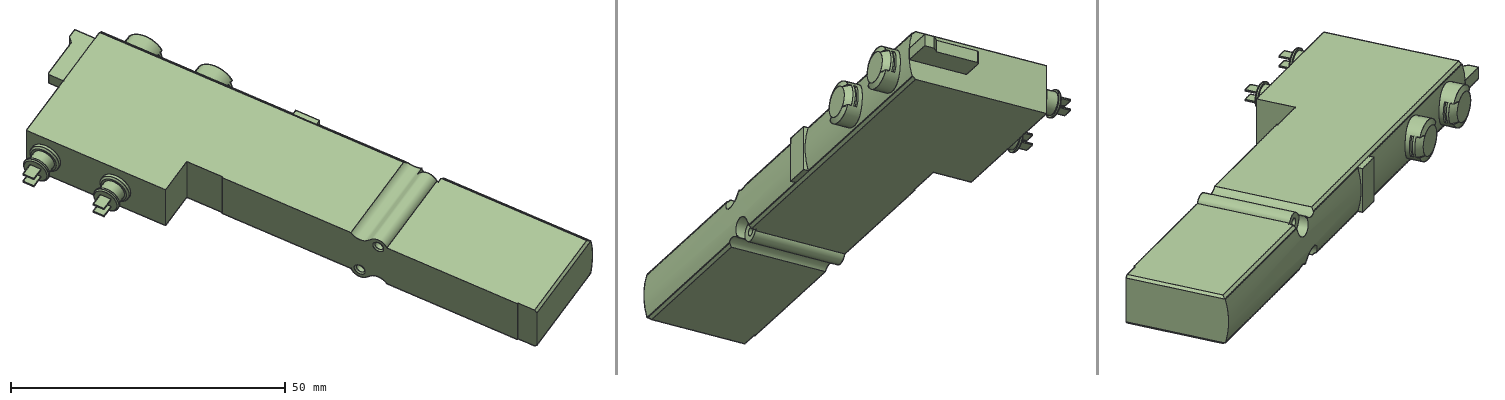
import cadquery as cq
import math

LENGTH = 102.6
HALF_THICK = 5.0
HEAD_LENGTH = 29.2
WAIST_FRONT_Y = 7.85
PAD_STEP = 0.2
PAD_START_X = 36.7
PAD_END_X = 98.6
END_CHAMFER = 0.5

CROWN_Y = 28.5
CROWN_EDGE_Y = 27.85
BEVEL_TOP_Y = 27.7
BEVEL_Y = 27.15
BEVEL_DEPTH = 0.5
RIB_X = 40.2
RIB_WIDTH = 5.0
RIB_HEIGHT = 0.3

PAIR_X = 67.5
BOSS_OFFSET_X = 1.95
BOSS_Z = 4.25
BOSS_RADIUS = 3.9 / 2
SCREW_DIAMETER = 1.7
SCREW_MOUTH_DIAMETER = 2.3
COUNTERBORE_DIAMETER = 4.5
COUNTERBORE_FLOOR_Y = 26.2
GROOVE_Z = 6.4
GROOVE_RADIUS = 2.3

LEVER_REACH = 5.9
LEVER_THICK = 2.4
LEVER_NOSE = 1.0
LEVER_REAR_Y = 28.4
LEVER_FRONT_Y = 16.6
LEVER_CHAMFER = 0.3
NOSE_Y = 26.45
NECK_Y = 25.4

CONNECTOR_X = 4.15
BUTTON_X = 7.4
STATION_PITCH = 14.7
STATION_COUNT = 2
SEAT_DIAMETER = 6.1
SEAT_HEIGHT = 0.6
STEM_DIAMETER = 4.5
FLANGE_DIAMETER = 5.3
SEAT_TAPER = 0.3
FLANGE_START = 3.35
FLANGE_END = 3.95
FLANGE_CHAMFER = 0.25
PIN_END = 6.55
PIN_WIDTH = 2.3
PIN_THICK = 0.3
PIN_SPACING = 2.0
BUTTON_RADIUS = 8.1 / 2
BUTTON_BASE_Y = 27.2
BUTTON_END_Y = 31.64
BUTTON_FACE_RADIUS = 2.95
BUTTON_RIM = 0.45
LATCH_WIDTH = 4.2
LATCH_LIP_Y = 30.45
LATCH_GROOVE_TOP_Y = 29.95
LATCH_GROOVE_BASE_Y = 29.35
LATCH_DEPTH = 0.65
OVERCUT = 1.0


def box(x0, x1, y0, y1, z0, z1):
    return cq.Workplane("XY").box(x1 - x0, y1 - y0, z1 - z0, centered=False).translate((x0, y0, z0))


def y_prism(outline, start_y, end_y):
    """Extrude an outline drawn on XZ so that it spans two Y stations; XZ extrudes toward -Y."""
    return outline.extrude(end_y - start_y).translate((0, end_y, 0))


def y_cylinder(x, z, radius, start_y, end_y):
    return y_prism(cq.Workplane("XZ").center(x, z).circle(radius), start_y, end_y)


def make_housing():
    crown_half = HALF_THICK - BEVEL_DEPTH
    section = (
        cq.Workplane("YZ")
        .moveTo(0, -HALF_THICK)
        .lineTo(BEVEL_Y, -HALF_THICK)
        .lineTo(BEVEL_TOP_Y, -crown_half)
        .lineTo(CROWN_EDGE_Y, -crown_half)
        .threePointArc((CROWN_Y, 0), (CROWN_EDGE_Y, crown_half))
        .lineTo(BEVEL_TOP_Y, crown_half)
        .lineTo(BEVEL_Y, HALF_THICK)
        .lineTo(0, HALF_THICK)
        .close()
        .extrude(LENGTH)
    )
    pad_y = WAIST_FRONT_Y - PAD_STEP
    outline = (
        cq.Workplane("XY")
        .workplane(offset=-HALF_THICK)
        .moveTo(0, 0)
        .lineTo(HEAD_LENGTH, 0)
        .lineTo(HEAD_LENGTH, WAIST_FRONT_Y)
        .lineTo(PAD_START_X, WAIST_FRONT_Y)
        .lineTo(PAD_START_X, pad_y)
        .lineTo(PAD_END_X, pad_y)
        .lineTo(PAD_END_X, WAIST_FRONT_Y)
        .lineTo(LENGTH, WAIST_FRONT_Y)
        .lineTo(LENGTH, CROWN_Y)
        .lineTo(0, CROWN_Y)
        .close()
        .extrude(2 * HALF_THICK)
        .faces(">X")
        .edges("|Y")
        .chamfer(END_CHAMFER)
    )
    rib = box(RIB_X, RIB_X + RIB_WIDTH, BEVEL_Y, CROWN_Y + RIB_HEIGHT, -crown_half, crown_half)
    return section.intersect(outline).union(rib)


def half_turn(solid):
    return solid.rotate((PAIR_X, 0, 0), (PAIR_X, 1, 0), 180)


def add_screw_boss(body, place):
    """Add one boss, its groove and its counterbored hole; place moves them to the top or bottom."""
    front_y = WAIST_FRONT_Y - PAD_STEP
    rear_y = CROWN_Y + OVERCUT
    boss_x = PAIR_X + BOSS_OFFSET_X
    groove_x = PAIR_X - BOSS_OFFSET_X

    run = boss_x - groove_x
    drop = GROOVE_Z - BOSS_Z
    distance = math.hypot(run, drop)
    tangent_angle = math.acos((GROOVE_RADIUS + BOSS_RADIUS) / distance) + math.atan2(drop, run)
    across = math.cos(tangent_angle)
    up = math.sin(tangent_angle)
    boss_tangent = (boss_x - BOSS_RADIUS * across, BOSS_Z + BOSS_RADIUS * up)
    groove_tangent = (groove_x + GROOVE_RADIUS * across, GROOVE_Z - GROOVE_RADIUS * up)

    groove = y_cylinder(groove_x, GROOVE_Z, GROOVE_RADIUS, front_y - OVERCUT, rear_y)
    flank_cut = y_prism(
        cq.Workplane("XZ").polyline([groove_tangent, boss_tangent, (groove_x, GROOVE_Z)]).close(),
        front_y - OVERCUT, rear_y,
    )
    boss = y_cylinder(boss_x, BOSS_Z, BOSS_RADIUS, front_y, COUNTERBORE_FLOOR_Y)
    flank = y_prism(
        cq.Workplane("XZ").polyline([groove_tangent, boss_tangent, (boss_x, BOSS_Z)]).close(),
        front_y, BEVEL_TOP_Y,
    )
    screw_hole = y_cylinder(boss_x, BOSS_Z, SCREW_DIAMETER / 2, front_y - OVERCUT, rear_y)
    mouth_depth = (SCREW_MOUTH_DIAMETER - SCREW_DIAMETER) / 2
    mouth = cq.Workplane(obj=cq.Solid.makeCone(
        SCREW_MOUTH_DIAMETER / 2, SCREW_DIAMETER / 2, mouth_depth,
        pnt=cq.Vector(boss_x, front_y, BOSS_Z), dir=cq.Vector(0, 1, 0),
    ))
    counterbore = y_cylinder(boss_x, BOSS_Z, COUNTERBORE_DIAMETER / 2, COUNTERBORE_FLOOR_Y, rear_y)

    body = body.cut(place(groove)).cut(place(flank_cut))
    body = body.union(place(boss)).union(place(flank))
    return body.cut(place(screw_hole)).cut(place(mouth)).cut(place(counterbore))


def make_lever():
    neck_x = LEVER_NOSE - LEVER_REACH
    return (
        cq.Workplane("XY")
        .workplane(offset=-LEVER_THICK / 2)
        .moveTo(0, LEVER_REAR_Y)
        .lineTo(-LEVER_REACH, LEVER_REAR_Y)
        .lineTo(-LEVER_REACH, NOSE_Y)
        .lineTo(neck_x, NECK_Y)
        .lineTo(neck_x, LEVER_FRONT_Y + LEVER_CHAMFER)
        .lineTo(neck_x + LEVER_CHAMFER, LEVER_FRONT_Y)
        .lineTo(0, LEVER_FRONT_Y)
        .close()
        .extrude(LEVER_THICK)
    )


def revolve_about_y(points):
    """Revolve a (radius, y) outline about the Y axis."""
    return cq.Workplane("XY").polyline(points).close().revolve(360, (0, 0, 0), (0, 1, 0))


def make_connector():
    seat = SEAT_DIAMETER / 2
    stem = STEM_DIAMETER / 2
    flange = FLANGE_DIAMETER / 2
    plug = revolve_about_y([
        (0, 0),
        (seat, 0),
        (seat, -SEAT_HEIGHT),
        (flange, -SEAT_HEIGHT - SEAT_TAPER),
        (stem, -SEAT_HEIGHT - SEAT_TAPER),
        (stem, -FLANGE_START),
        (flange, -FLANGE_START),
        (flange, FLANGE_CHAMFER - FLANGE_END),
        (flange - FLANGE_CHAMFER, -FLANGE_END),
        (0, -FLANGE_END),
    ])
    for side in (-1, 1):
        pin_z = side * PIN_SPACING / 2
        plug = plug.union(box(
            -PIN_WIDTH / 2, PIN_WIDTH / 2,
            -PIN_END, -FLANGE_START,
            pin_z - PIN_THICK / 2, pin_z + PIN_THICK / 2,
        ))
    return plug


def make_button():
    rim_y = BUTTON_END_Y - BUTTON_RIM
    button = revolve_about_y([
        (0, BUTTON_BASE_Y),
        (BUTTON_RADIUS, BUTTON_BASE_Y),
        (BUTTON_RADIUS, rim_y),
        (BUTTON_FACE_RADIUS, BUTTON_END_Y),
        (0, BUTTON_END_Y),
    ])
    inner = BUTTON_RADIUS - LATCH_DEPTH
    outer = BUTTON_RADIUS + OVERCUT
    ramp = revolve_about_y([
        (BUTTON_RADIUS, LATCH_LIP_Y),
        (inner, rim_y),
        (BUTTON_FACE_RADIUS, BUTTON_END_Y),
        (outer, BUTTON_END_Y),
        (outer, LATCH_LIP_Y),
    ])
    groove = revolve_about_y([
        (inner, LATCH_GROOVE_BASE_Y),
        (outer, LATCH_GROOVE_BASE_Y),
        (outer, LATCH_GROOVE_TOP_Y),
        (inner, LATCH_GROOVE_TOP_Y),
    ])
    latch_zone = box(-outer, outer, BUTTON_BASE_Y, BUTTON_END_Y, -LATCH_WIDTH / 2, LATCH_WIDTH / 2)
    return button.cut(ramp.intersect(latch_zone)).cut(groove.intersect(latch_zone))


result = make_housing()
result = add_screw_boss(result, lambda solid: solid)
result = add_screw_boss(result, half_turn)
result = result.union(make_lever())
for station in range(STATION_COUNT):
    shift = station * STATION_PITCH
    result = result.union(make_connector().translate((CONNECTOR_X + shift, 0, 0)))
    result = result.union(make_button().translate((BUTTON_X + shift, 0, 0)))